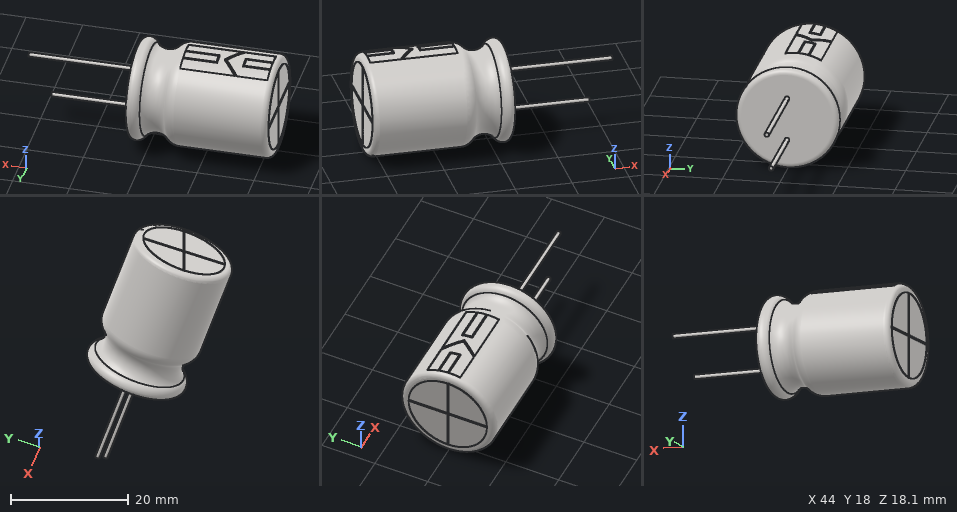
import cadquery as cq
import math

can_radius = 9.0
can_length = 25.0
end_round = 1.0
body_end = 16.35
neck_start = 18.35
neck_end = 22.55
neck_side_radius = 8.1
neck_radius = 7.2

recess_radius = 14.85 / 2
recess_depth = 0.1
vent_width = 0.2
vent_depth = 0.1

lead_radius = 0.8 / 2
lead_offset = 3.75
long_lead_end = 44.0
short_lead_end = 40.0
lead_embed = 0.45

band_height = 0.1
band_embed = 0.2
band_tilt = 8.2
band_half_angle = 20.3
bar_half_angle = 6.3
left_bar_end = 5.8
right_bar_start = 10.35
bar_groove_width = 0.18
arrow_tip = 9.3
arrow_tail = 6.75
arrow_width = 0.35

band_radius = can_radius + band_height
band_half_width = band_radius * math.sin(math.radians(band_half_angle))
bar_half_width = band_radius * math.sin(math.radians(bar_half_angle))


def make_can():
    rim_radius = can_radius - end_round
    rim_start = can_length - end_round
    corner = end_round * math.sqrt(0.5)
    profile = (
        cq.Workplane("XY")
        .lineTo(0, rim_radius)
        .threePointArc((end_round - corner, rim_radius + corner), (end_round, can_radius))
        .lineTo(body_end, can_radius)
        .tangentArcPoint((neck_start, neck_side_radius), relative=False)
        .threePointArc(((neck_start + neck_end) / 2, neck_radius), (neck_end, neck_side_radius))
    )
    run = rim_start - neck_end
    rise = can_radius - neck_side_radius
    crest_radius = (run**2 + rise**2) / (2 * rise)
    half_turn = math.asin(run / crest_radius) / 2
    crest_middle = (
        rim_start - crest_radius * math.sin(half_turn),
        can_radius - crest_radius * (1 - math.cos(half_turn)),
    )
    profile = (
        profile.threePointArc(crest_middle, (rim_start, can_radius))
        .threePointArc((rim_start + corner, rim_radius + corner), (can_length, rim_radius))
        .lineTo(can_length, 0)
        .close()
    )
    return profile.revolve(360, (0, 0, 0), (1, 0, 0))


def make_end_recess():
    recess = cq.Workplane("YZ").circle(recess_radius).extrude(recess_depth)
    groove_floor = recess_depth + vent_depth
    vents = (
        cq.Workplane("YZ")
        .rect(2 * recess_radius, vent_width)
        .extrude(groove_floor)
        .union(cq.Workplane("YZ").rect(vent_width, 2 * recess_radius).extrude(groove_floor))
    )
    disc = cq.Workplane("YZ").circle(recess_radius).extrude(groove_floor)
    return recess.union(vents.intersect(disc))


def make_lead(z, end):
    start = can_length - lead_embed
    return cq.Workplane("YZ", origin=(start, 0, z)).circle(lead_radius).extrude(end - start)


def bar_outline(x_start, x_end, margin):
    """Upright block over a bar, smaller by margin at its sides and at both ends."""
    return (
        cq.Workplane("XY")
        .center((x_start + x_end) / 2, 0)
        .rect(x_end - x_start - 2 * margin, 2 * (bar_half_width - margin))
        .extrude(2 * can_radius)
    )


def bar_groove(x_start, x_end):
    outer = bar_outline(x_start, x_end, 0)
    return outer.cut(bar_outline(x_start, x_end, bar_groove_width))


def arrow_groove():
    return (
        cq.Workplane("XY")
        .polyline([
            (arrow_tail, band_half_width),
            (arrow_tip, 0),
            (arrow_tail, -band_half_width),
            (arrow_tail - arrow_width, -band_half_width),
            (arrow_tip - arrow_width, 0),
            (arrow_tail - arrow_width, band_half_width),
        ])
        .close()
        .extrude(2 * can_radius)
    )


def make_band():
    """Band centred on +Z, with grooves down to the can wall, then tilted about X."""
    length = body_end - end_round
    plane = cq.Workplane("YZ", origin=(end_round, 0, 0))
    shell = plane.circle(band_radius).circle(can_radius - band_embed).extrude(length)
    reach = 2 * can_radius
    half_angle = math.radians(band_half_angle)
    side = reach * math.tan(half_angle)
    wedge = plane.polyline([(0, 0), (side, reach), (-side, reach)]).close().extrude(length)
    grooves = (
        bar_groove(0, left_bar_end)
        .union(bar_groove(right_bar_start, can_length))
        .union(arrow_groove())
    )
    return shell.intersect(wedge).cut(grooves).rotate((0, 0, 0), (1, 0, 0), -band_tilt)


result = (
    make_can()
    .cut(make_end_recess())
    .union(make_lead(lead_offset, long_lead_end))
    .union(make_lead(-lead_offset, short_lead_end))
    .union(make_band())
)